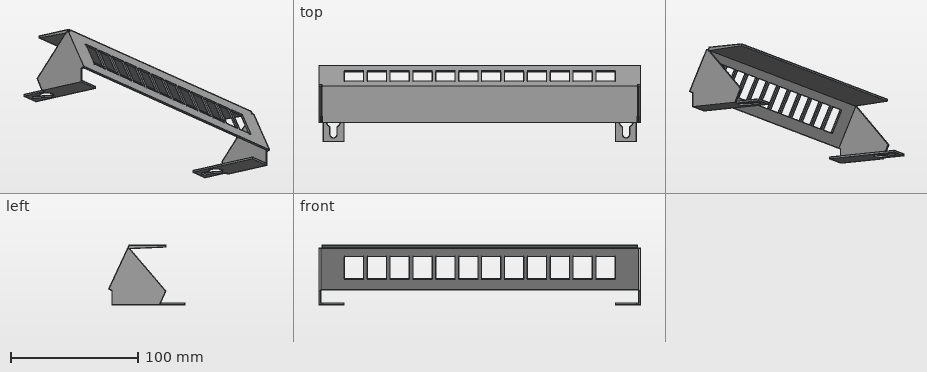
import cadquery as cq
import math

LENGTH = 253.0
DEPTH = 60.0
HEIGHT = 46.9
SHEET = 1.5

PANEL_TILT = 25.0
PANEL_BOTTOM = 12.4
SHELF_FRONT = 45.0
CORNER_RELIEF = 2.5
RELIEF_DROP = 2.3

WINDOW_COUNT = 12
WINDOW_PITCH = 18.0
WINDOW_WIDTH = 15.0
WINDOW_HEIGHT = 19.8
WINDOW_CENTRE = 19.0

WALL_LIP = 2.9
WALL_TOP_WIDTH = 1.6
WALL_NOSE_HEIGHT = 10.8
WALL_FOOT_FRONT = 40.2

FOOT_WIDTH = 19.8
TAB_INSET = 3.2
KEYHOLE_X = 11.4
KEYHOLE_HEAD_Y = -43.7
KEYHOLE_HEAD_RADIUS = 5.5
KEYHOLE_SLOT_WIDTH = 5.5
KEYHOLE_END_MARGIN = 3.0

tilt = math.radians(PANEL_TILT)
half_length = LENGTH / 2
fold_distance = (HEIGHT - PANEL_BOTTOM) / math.cos(tilt)
relief_start = fold_distance - RELIEF_DROP


def slope_point(along, inward):
    """Point (y, z) at a distance up the panel's outer face and a depth into the part."""
    y = -along * math.sin(tilt) - inward * math.cos(tilt)
    z = PANEL_BOTTOM + along * math.cos(tilt) - inward * math.sin(tilt)
    return (y, z)


def extrude_profile(points, x_start, x_end):
    """Solid with a closed (y, z) profile between two x positions."""
    profile = cq.Workplane("YZ", origin=(x_start, 0, 0)).polyline(points).close()
    return profile.extrude(x_end - x_start)


def make_panel_and_shelf():
    inner_fold = fold_distance - SHEET / math.tan((math.pi / 2 - tilt) / 2)
    profile = [
        slope_point(0, 0),
        slope_point(fold_distance, 0),
        (-SHELF_FRONT, HEIGHT),
        (-SHELF_FRONT, HEIGHT - SHEET),
        slope_point(inner_fold, SHEET),
        slope_point(0, SHEET),
    ]
    inset_end = half_length - CORNER_RELIEF
    folded_sheet = extrude_profile(profile, -inset_end, inset_end)
    full_width_strip = [
        slope_point(0, 0),
        slope_point(relief_start, 0),
        slope_point(relief_start, SHEET),
        slope_point(0, SHEET),
    ]
    return folded_sheet.union(extrude_profile(full_width_strip, -half_length, half_length))


def cut_windows(body):
    bottom = WINDOW_CENTRE - WINDOW_HEIGHT / 2
    top = WINDOW_CENTRE + WINDOW_HEIGHT / 2
    profile = [
        slope_point(bottom, -SHEET),
        slope_point(top, -SHEET),
        slope_point(top, 2 * SHEET),
        slope_point(bottom, 2 * SHEET),
    ]
    for index in range(WINDOW_COUNT):
        centre = (index - (WINDOW_COUNT - 1) / 2) * WINDOW_PITCH
        window = extrude_profile(profile, centre - WINDOW_WIDTH / 2, centre + WINDOW_WIDTH / 2)
        body = body.cut(window)
    return body


def make_wall():
    """Left end wall, standing on its foot and closing the end of the panel."""
    lip = slope_point(0, WALL_LIP)
    profile = [
        slope_point(0, 0),
        slope_point(relief_start, 0),
        slope_point(relief_start, WALL_TOP_WIDTH),
        (-SHELF_FRONT, WALL_NOSE_HEIGHT),
        (-WALL_FOOT_FRONT, 0),
        (lip[0], 0),
        lip,
    ]
    return extrude_profile(profile, -half_length, -half_length + SHEET)


def make_foot():
    """Left foot: a strip along the wall with a narrower keyhole tab in front."""
    wall_back = slope_point(0, WALL_LIP)[0]
    outline = [
        (-half_length, wall_back),
        (-half_length + FOOT_WIDTH, wall_back),
        (-half_length + FOOT_WIDTH, -DEPTH),
        (-half_length + TAB_INSET, -DEPTH),
        (-half_length + TAB_INSET, -WALL_FOOT_FRONT),
        (-half_length, -WALL_FOOT_FRONT),
    ]
    foot = cq.Workplane("XY").polyline(outline).close().extrude(SHEET)

    keyhole_x = -half_length + KEYHOLE_X
    slot_radius = KEYHOLE_SLOT_WIDTH / 2
    slot_end_y = -DEPTH + KEYHOLE_END_MARGIN + slot_radius
    slot_length = KEYHOLE_HEAD_Y - slot_end_y
    head = cq.Workplane("XY").center(keyhole_x, KEYHOLE_HEAD_Y).circle(KEYHOLE_HEAD_RADIUS).extrude(SHEET)
    slot_end = cq.Workplane("XY").center(keyhole_x, slot_end_y).circle(slot_radius).extrude(SHEET)
    slot = (
        cq.Workplane("XY")
        .center(keyhole_x, slot_end_y + slot_length / 2)
        .rect(KEYHOLE_SLOT_WIDTH, slot_length)
        .extrude(SHEET)
    )
    return foot.cut(head).cut(slot_end).cut(slot)


left_end = make_wall().union(make_foot())
right_end = left_end.mirror("YZ")
result = cut_windows(make_panel_and_shelf()).union(left_end).union(right_end)